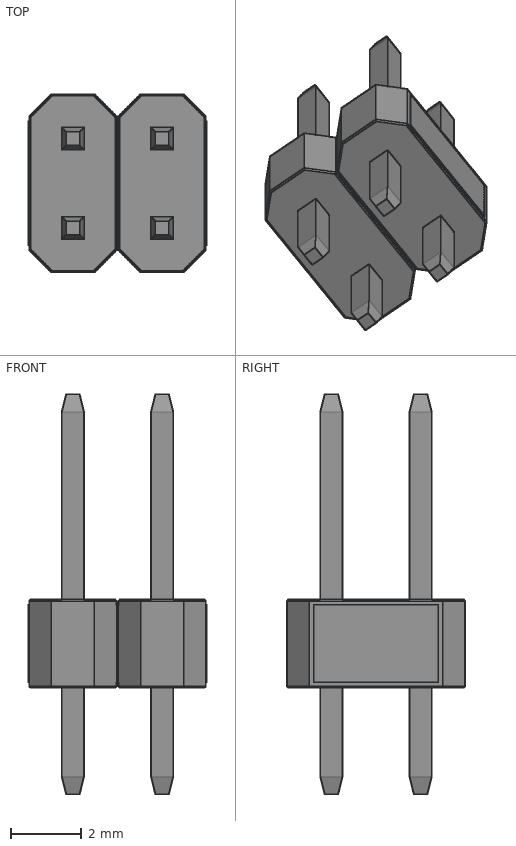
import cadquery as cq

OVERALL_HEIGHT = 11.39
PITCH = 2.54
TAIL_LENGTH = 3.03
ROWS = 2
CELLS = 2

BLOCK_HEIGHT = 2.52
PAD_PROUD = 0.02
BLOCK_WIDTH = PITCH - 2 * PAD_PROUD
BLOCK_DEPTH = ROWS * PITCH
CORNER_CHAMFER = 0.64
RIM_CHAMFER = 0.05

PAD_LENGTH = 3.53
PAD_HEIGHT = 2.21

PIN_WIDTH = 0.64
TIP_WIDTH = 0.39
TIP_LENGTH = 0.5


def centred_positions(count):
    """Positions one pitch apart, centred on zero."""
    return [(i - (count - 1) / 2) * PITCH for i in range(count)]


def make_block():
    """Octagonal block with chamfered rims."""
    return (
        cq.Workplane("XY")
        .box(BLOCK_WIDTH, BLOCK_DEPTH, BLOCK_HEIGHT, centered=(True, True, False))
        .edges("|Z")
        .chamfer(CORNER_CHAMFER)
        .faces("<Z or >Z")
        .chamfer(RIM_CHAMFER)
    )


def make_pads():
    """Flat pads on both X sides, made as one slab running through the block."""
    return cq.Workplane("XY").box(PITCH, PAD_LENGTH, PAD_HEIGHT).translate((0, 0, BLOCK_HEIGHT / 2))


def make_tip(base_z, direction):
    """Tapered pin end that starts at base_z and points up (+1) or down (-1)."""
    return (
        cq.Workplane("XY", origin=(0, 0, base_z))
        .rect(PIN_WIDTH, PIN_WIDTH)
        .workplane(offset=direction * TIP_LENGTH)
        .rect(TIP_WIDTH, TIP_WIDTH)
        .loft()
    )


def make_pin():
    """Square pin through the full height, tapered at both ends."""
    shaft_bottom = TIP_LENGTH - TAIL_LENGTH
    shaft_length = OVERALL_HEIGHT - 2 * TIP_LENGTH
    shaft = (
        cq.Workplane("XY", origin=(0, 0, shaft_bottom))
        .rect(PIN_WIDTH, PIN_WIDTH)
        .extrude(shaft_length)
    )
    lower_tip = make_tip(shaft_bottom, -1)
    upper_tip = make_tip(shaft_bottom + shaft_length, 1)
    return shaft.union(lower_tip).union(upper_tip)


def make_cell(x):
    """One header cell centred at x: the block, its side pads and its row of pins as one solid."""
    cell = make_block().union(make_pads())
    for y in centred_positions(ROWS):
        cell = cell.union(make_pin().translate((0, y, 0)))
    return cell.translate((x, 0, 0))


cells = cq.Workplane("XY")
for x in centred_positions(CELLS):
    cells = cells.add(make_cell(x).solids())

result = cq.Compound.makeCompound(cells.vals())